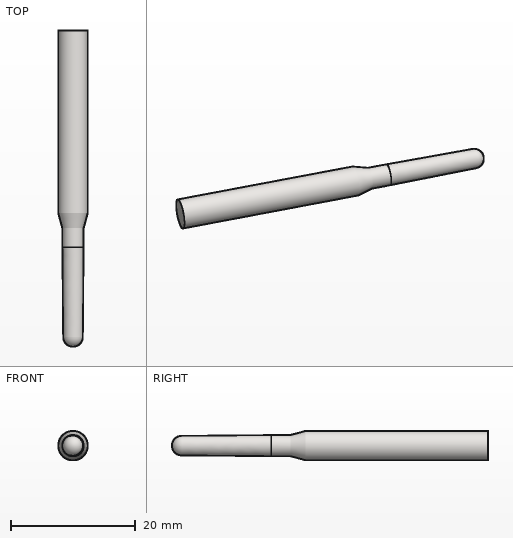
import cadquery as cq
import math

total_length = 50.8

shank_radius = 2.4
shank_length = 29.3
cone_length = 2.45
neck_radius = 1.75
neck_length = 3.1

land_length = 0.1
ball_radius = 1.6

back_y = total_length / 2
shank_end_y = back_y - shank_length
cone_end_y = shank_end_y - cone_length
joint_y = cone_end_y - neck_length
taper_start_y = joint_y - land_length
point_y = -total_length / 2
ball_center_y = point_y + ball_radius

base_distance = taper_start_y - ball_center_y
base_to_ball_center = math.hypot(base_distance, neck_radius)
taper_angle = math.asin(neck_radius / base_to_ball_center) - math.asin(ball_radius / base_to_ball_center)


def ball_point(angle):
    """Point (radius, Y) on the ball, at an angle from its equator towards +Y."""
    return (ball_radius * math.cos(angle), ball_center_y + ball_radius * math.sin(angle))


def revolve_about_y(half_profile):
    return half_profile.close().revolve(360, (0, 0, 0), (0, 1, 0))


def make_holder():
    half_profile = (
        cq.Workplane("XY")
        .moveTo(0, back_y)
        .lineTo(shank_radius, back_y)
        .lineTo(shank_radius, shank_end_y)
        .lineTo(neck_radius, cone_end_y)
        .lineTo(neck_radius, joint_y)
        .lineTo(0, joint_y)
    )
    return revolve_about_y(half_profile)


def make_tip():
    tangent_angle = -taper_angle
    middle_angle = (tangent_angle - math.pi / 2) / 2
    half_profile = (
        cq.Workplane("XY")
        .moveTo(0, joint_y)
        .lineTo(neck_radius, joint_y)
        .lineTo(neck_radius, taper_start_y)
        .lineTo(*ball_point(tangent_angle))
        .threePointArc(ball_point(middle_angle), (0, point_y))
    )
    return revolve_about_y(half_profile)


holder = make_holder()
tip = make_tip()
result = cq.Compound.makeCompound([holder.val(), tip.val()])